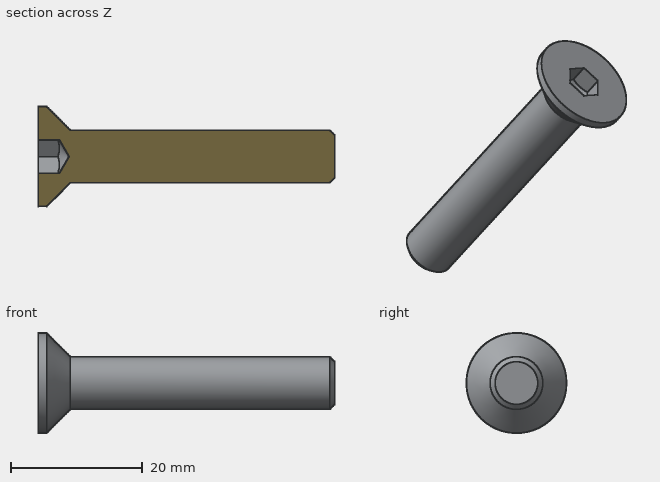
import cadquery as cq
import math

total_length = 45.0
shank_diameter = 8.0
head_diameter = 15.24
rim_thickness = 1.28
tip_chamfer = 0.77
socket_sides = 6
socket_across_flats = 5.0
socket_depth = 3.0
socket_cone_angle = 120.0

full_turn = 360.0
shank_radius = shank_diameter / 2
head_radius = head_diameter / 2
head_height = rim_thickness + head_radius - shank_radius
socket_circumradius = socket_across_flats / math.sqrt(3)
socket_cone_depth = socket_circumradius / math.tan(math.radians(socket_cone_angle / 2))


def screw_body():
    """Head, countersink, shank and chamfered tip, revolved about X."""
    profile = (
        cq.Workplane("XY")
        .moveTo(0, 0)
        .lineTo(0, head_radius)
        .lineTo(rim_thickness, head_radius)
        .lineTo(head_height, shank_radius)
        .lineTo(total_length - tip_chamfer, shank_radius)
        .lineTo(total_length, shank_radius - tip_chamfer)
        .lineTo(total_length, 0)
        .close()
    )
    return profile.revolve(full_turn, (0, 0, 0), (1, 0, 0))


def hex_socket():
    """Hexagonal recess, flats facing Y, trimmed to a conical bottom."""
    corners = []
    for index in range(socket_sides):
        angle = math.radians(full_turn / socket_sides * index)
        corners.append((socket_circumradius * math.sin(angle), socket_circumradius * math.cos(angle)))
    hexagon = cq.Workplane("YZ").polyline(corners).close().extrude(socket_depth + socket_cone_depth)

    pointed_envelope = (
        cq.Workplane("XY")
        .moveTo(0, 0)
        .lineTo(0, socket_circumradius)
        .lineTo(socket_depth, socket_circumradius)
        .lineTo(socket_depth + socket_cone_depth, 0)
        .close()
        .revolve(full_turn, (0, 0, 0), (1, 0, 0))
    )
    return hexagon.intersect(pointed_envelope)


result = screw_body().cut(hex_socket())